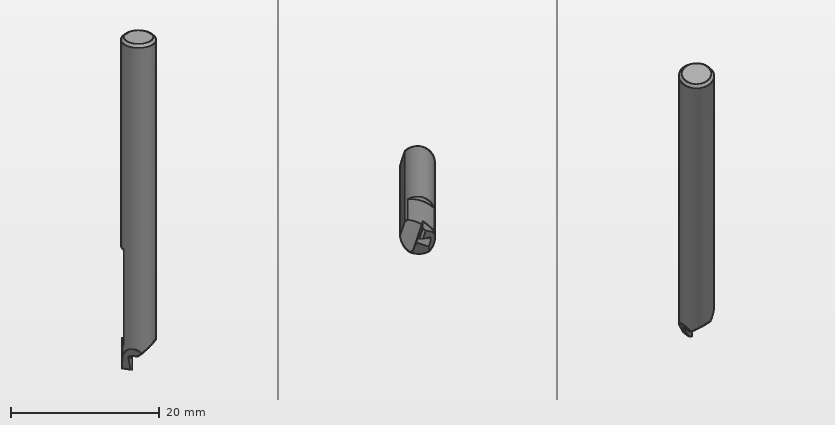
import cadquery as cq

length = 50.8
radius = 2.4
flat_y = 2.15
chamfer = 0.4
margin = 0.5

head_top = 4.6
relief_top = 19.1
relief_x = -1.9
relief_radius = 4.55

head_right = -0.85
head_step = 2.1
neck_right = -0.95
head_left = -2.35
neck_fillet = 0.6
shoulder_z = 3.05
shoulder_right = 0.4
side_clearance = 0.38
right_clearance = 0.16

edge_land_y = -0.45
edge_land_z = 0.2
heel_z = 4.45

reach = 2 * radius


def shank():
    bar = cq.Workplane("XY").circle(radius).extrude(length)
    bar = bar.faces(">Z").chamfer(chamfer)
    back = cq.Workplane("XY").box(2 * reach, reach, length, centered=(True, False, False))
    return bar.cut(back.translate((0, flat_y, 0)))


def side_relief():
    """Space outside a large vertical cylinder that bulges towards -X."""
    height = relief_top - head_top
    outside = cq.Workplane("XY").workplane(offset=head_top).center(-reach, 0)
    outside = outside.rect(2 * reach, 2 * reach).extrude(height)
    core = cq.Workplane("XY").workplane(offset=head_top).center(relief_x + relief_radius, 0)
    return outside.cut(core.circle(relief_radius).extrude(height))


def rake_cut():
    """Opens the rake face and runs out through the back at 45 degrees."""
    profile = [(0, -margin), (0, head_top), (reach, head_top + reach), (reach, -margin)]
    return cq.Workplane("YZ").polyline(profile).close().extrude(reach, both=True)


def front_clearance():
    slope = (heel_z - edge_land_z) / (-radius - edge_land_y)
    outer_z = edge_land_z + slope * (-reach - edge_land_y)
    profile = [(0, 0), (edge_land_y, edge_land_z), (-reach, outer_z), (-reach, -margin), (0, -margin)]
    return cq.Workplane("YZ").polyline(profile).close().extrude(reach, both=True)


def neck_cut():
    """Clears the +X side below the shoulder, leaving the neck and head."""
    return (
        cq.Workplane("XZ")
        .moveTo(neck_right, -margin)
        .lineTo(neck_right, shoulder_z - neck_fillet)
        .radiusArc((neck_right + neck_fillet, shoulder_z), neck_fillet)
        .lineTo(shoulder_right, shoulder_z)
        .lineTo(shoulder_right + reach, shoulder_z + reach)
        .lineTo(shoulder_right + reach, -margin)
        .close()
        .extrude(reach, both=True)
    )


def head_tip():
    """Widened lower end of the head, narrowing towards -Y."""
    outline = [
        (neck_right, 0),
        (head_right, 0),
        (neck_right, (neck_right - head_right) / right_clearance),
    ]
    return cq.Workplane("XY").polyline(outline).close().extrude(head_step)


def side_clearance_cut():
    outline = [
        (head_left, 0),
        (head_left + side_clearance * reach, -reach),
        (-2 * radius, -reach),
        (-2 * radius, 0),
    ]
    return cq.Workplane("XY").polyline(outline).close().extrude(head_top)


result = (
    shank()
    .cut(side_relief())
    .cut(rake_cut())
    .cut(neck_cut())
    .union(head_tip())
    .cut(side_clearance_cut())
    .cut(front_clearance())
)